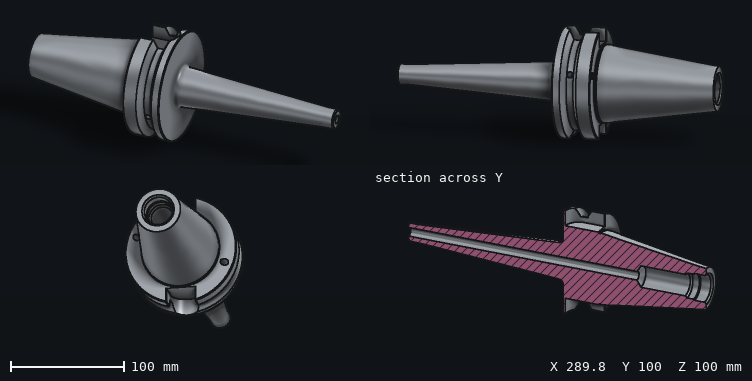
import cadquery as cq
import math

total_length = 289.8
gauge_line = 101.7
flange_start = 105.0
flange_end = 139.7

tolerance = 0.03

taper_ratio = 7 / 24
gauge_diameter = 69.8
gauge_radius = gauge_diameter / 2
small_end_radius = gauge_radius - gauge_line * taper_ratio / 2

relief_depth = 0.72
relief_start = gauge_line + 1.0

flange_diameter = 100.0
flange_radius = flange_diameter / 2
rim_chamfer = 0.72
groove_diameter = 85.0
groove_radius = groove_diameter / 2
groove_start = 117.7
groove_floor_length = 6.0
groove_flank_angle = 30
groove_flank_length = (flange_radius - groove_radius) * math.tan(math.radians(groove_flank_angle))
groove_floor_start = groove_start + groove_flank_length
groove_floor_end = groove_floor_start + groove_floor_length
groove_end = groove_floor_end + groove_flank_length

root_fillet = 4.0
shank_start_radius = 18.0
tip_diameter = 18.3
tip_radius = tip_diameter / 2
tip_length = 10.0
tip_chamfer = 1.2
shank_start = flange_end + root_fillet
tip_start = total_length - tip_length

slot_width = 25.5
slot_floor = 35.5
slot_end = 137.0

mouth_radius = 14.5
counterbore_radius = 12.8
mouth_chamfer = mouth_radius - counterbore_radius
counterbore_depth = 11.5
thread_radius = 12.0
thread_chamfer = counterbore_radius - thread_radius
thread_end = 18.8
drill_radius = 10.0
drill_chamfer = thread_radius - drill_radius
drill_end = 63.8
drill_point_angle = 59
through_diameter = 7.8
through_radius = through_diameter / 2

sloped_hole_radius = 3.0
sloped_hole_centre = 41.7
sloped_hole_angle = 38
radial_hole_radius = 2.5
coolant_direction = 20
groove_centre = (groove_floor_start + groove_floor_end) / 2
sloped_hole_drop = (groove_centre - flange_start) * math.tan(math.radians(sloped_hole_angle))
meeting_radius = sloped_hole_centre - sloped_hole_drop


def revolve_about_x(outline):
    return outline.close().revolve(360, (0, 0, 0), (1, 0, 0))


def make_body():
    bend = root_fillet * (1 - math.sqrt(0.5))
    outline = (
        cq.Workplane("XY")
        .lineTo(0, small_end_radius)
        .lineTo(gauge_line, gauge_radius)
        .lineTo(relief_start, gauge_radius)
        .lineTo(relief_start + relief_depth, gauge_radius - relief_depth)
        .lineTo(relief_start + 2 * relief_depth, gauge_radius)
        .lineTo(flange_start, gauge_radius)
        .lineTo(flange_start, flange_radius)
        .lineTo(groove_start, flange_radius)
        .lineTo(groove_floor_start, groove_radius)
        .lineTo(groove_floor_end, groove_radius)
        .lineTo(groove_end, flange_radius)
        .lineTo(flange_end - rim_chamfer, flange_radius)
        .lineTo(flange_end, flange_radius - rim_chamfer)
        .lineTo(flange_end, shank_start_radius + root_fillet)
        .threePointArc(
            (flange_end + bend, shank_start_radius + bend),
            (shank_start, shank_start_radius),
        )
        .lineTo(tip_start, tip_radius)
        .lineTo(total_length - tip_chamfer, tip_radius)
        .lineTo(total_length, tip_radius - tip_chamfer)
        .lineTo(total_length, 0)
    )
    return revolve_about_x(outline)


def make_bore():
    drill_point_length = (drill_radius - through_radius) / math.tan(math.radians(drill_point_angle))
    outline = (
        cq.Workplane("XY")
        .lineTo(0, mouth_radius)
        .lineTo(mouth_chamfer, counterbore_radius)
        .lineTo(counterbore_depth, counterbore_radius)
        .lineTo(counterbore_depth + thread_chamfer, thread_radius)
        .lineTo(thread_end, thread_radius)
        .lineTo(thread_end + drill_chamfer, drill_radius)
        .lineTo(drill_end, drill_radius)
        .lineTo(drill_end + drill_point_length, through_radius)
        .lineTo(total_length, through_radius)
        .lineTo(total_length, 0)
    )
    return revolve_about_x(outline)


def make_drive_slot():
    half_width = slot_width / 2
    arc_centre = slot_end - half_width
    return (
        cq.Workplane("XY", origin=(0, 0, slot_floor))
        .moveTo(flange_start, -half_width)
        .lineTo(arc_centre, -half_width)
        .threePointArc((slot_end, 0), (arc_centre, half_width))
        .lineTo(flange_start, half_width)
        .close()
        .extrude(flange_radius)
    )


def make_coolant_holes():
    face_centre = cq.Vector(flange_start, sloped_hole_centre, 0)
    meeting_point = cq.Vector(groove_centre, meeting_radius, 0)
    path = meeting_point - face_centre
    lead = path * 0.5
    sloped = cq.Solid.makeCylinder(sloped_hole_radius, (lead + path).Length, face_centre - lead, path)
    radial = cq.Solid.makeCylinder(
        radial_hole_radius, groove_radius - meeting_radius, meeting_point, cq.Vector(0, 1, 0)
    )
    return cq.Workplane(sloped).union(cq.Workplane(radial)).rotate((0, 0, 0), (1, 0, 0), coolant_direction)


def is_front_rim(edge):
    ends = (edge.startPoint(), edge.endPoint())
    front = min(point.x for point in ends)
    outermost = max(math.hypot(point.y, point.z) for point in ends)
    return abs(front - flange_start) < tolerance and abs(outermost - flange_radius) < tolerance


drive_slot = make_drive_slot()
coolant_holes = make_coolant_holes()

result = make_body()
for half_turn in (0, 180):
    result = result.cut(drive_slot.rotate((0, 0, 0), (1, 0, 0), half_turn))
result = result.edges().filter(is_front_rim).chamfer(rim_chamfer)
result = result.cut(make_bore())
for half_turn in (0, 180):
    result = result.cut(coolant_holes.rotate((0, 0, 0), (1, 0, 0), half_turn))